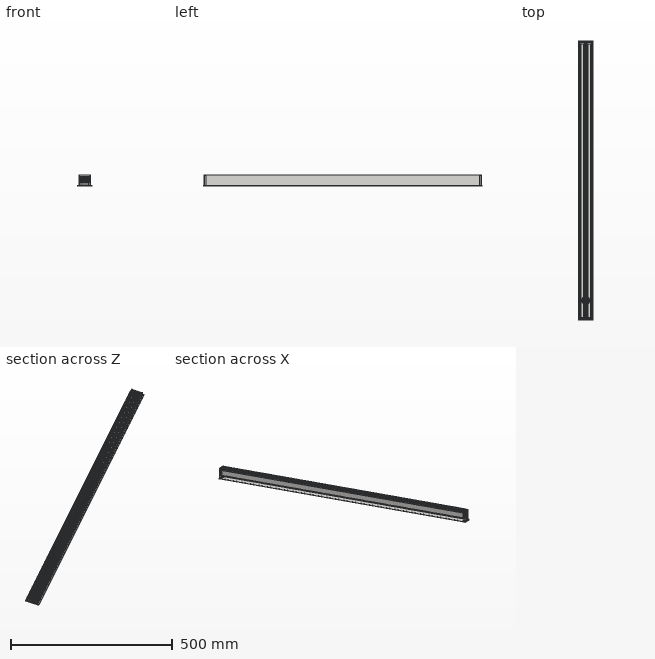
import cadquery as cq

LENGTH = 861.0
FLANGE_WIDTH = 44.0
TRIM_THICKNESS = 1.5
BODY_WIDTH = 35.0
BODY_HEIGHT = 34.0

CAP_SETBACK = 1.9
PLATE_THICKNESS = 2.0
COLLAR_THICKNESS = 4.0
COLLAR_STEP = 0.4
NOTCH_WIDTH = 8.0
NOTCH_LENGTH = 2.0
NOTCH_DEPTH = 1.0
SCREW_HOLE_DIAMETER = 4.5
SCREW_SPACING = 21.0
SCREW_HEIGHT = 22.0

CHANNEL_WIDTH = 28.0
CHANNEL_DEPTH = 1.0
GROOVE_WIDTH = 13.0
GROOVE_DEPTH = 2.0

CAVITY_BOTTOM = 12.0
CAVITY_TOP = 29.0
MIDDLE_SLOT = (1.3, 3.5)
INNER_CAVITY = (4.7, 8.2)
OUTER_CAVITY = (9.5, 14.0)
LAMP_CAVITY_WIDTH = 24.0
LAMP_CAVITY_BOTTOM = 3.5
LAMP_CAVITY_TOP = 10.0

GROMMET_Y = -370.0
GROMMET_HEIGHT = 3.0
GROMMET_DIAMETER = 24.0
GROMMET_TOP_DIAMETER = 20.0
BORE_DIAMETER = 14.0
BORE_DEPTH = 2.0

body_top = TRIM_THICKNESS + BODY_HEIGHT
channel_floor = body_top - CHANNEL_DEPTH
groove_floor = channel_floor - GROOVE_DEPTH
collar_top = body_top - COLLAR_STEP
cap_face = LENGTH / 2 - CAP_SETBACK
plate_back = cap_face - PLATE_THICKNESS
housing_end = plate_back - COLLAR_THICKNESS


def block(x_range, y_range, z_range):
    """Box filling the given ranges along X, Y and Z."""
    low, high = zip(x_range, y_range, z_range)
    size = [end - start for start, end in zip(low, high)]
    return cq.Workplane("XY").box(*size, centered=False).translate(low)


def centred(width):
    return (-width / 2, width / 2)


def cut_mirrored(body, x_range, y_range, z_range):
    """Cut the same box on both sides of the middle plane."""
    inner, outer = x_range
    body = body.cut(block((inner, outer), y_range, z_range))
    return body.cut(block((-outer, -inner), y_range, z_range))


def cut_cavities(body, y_range):
    """Cut the long cavities that the housing and the backs of the caps share."""
    for x_range in (MIDDLE_SLOT, INNER_CAVITY, OUTER_CAVITY):
        body = cut_mirrored(body, x_range, y_range, (CAVITY_BOTTOM, CAVITY_TOP))
    lamp_z_range = (LAMP_CAVITY_BOTTOM, LAMP_CAVITY_TOP)
    return body.cut(block(centred(LAMP_CAVITY_WIDTH), y_range, lamp_z_range))


def make_trim():
    return block(centred(FLANGE_WIDTH), centred(LENGTH), (0, TRIM_THICKNESS))


def make_grommet_disc():
    """Plain disc of the grommet's size, which also shapes its seat."""
    disc = cq.Workplane("XY").circle(GROMMET_DIAMETER / 2).extrude(GROMMET_HEIGHT)
    return disc.translate((0, GROMMET_Y, body_top - GROMMET_HEIGHT))


def make_grommet():
    rim_chamfer = (GROMMET_DIAMETER - GROMMET_TOP_DIAMETER) / 2
    disc = make_grommet_disc().faces(">Z").chamfer(rim_chamfer)
    return disc.faces(">Z").workplane(centerOption="CenterOfMass").hole(BORE_DIAMETER, BORE_DEPTH)


def make_housing():
    y_range = centred(2 * housing_end)
    body = block(centred(BODY_WIDTH), y_range, (TRIM_THICKNESS, body_top))
    body = cut_cavities(body, y_range)
    body = body.cut(block(centred(CHANNEL_WIDTH), y_range, (channel_floor, body_top)))
    body = body.cut(block(centred(GROOVE_WIDTH), y_range, (groove_floor, channel_floor)))
    body = cut_mirrored(body, MIDDLE_SLOT, y_range, (CAVITY_TOP, groove_floor))
    return body.cut(make_grommet_disc())


def make_cap():
    """Cap at the -Y end: the plate faces outwards and the collar meets the housing."""
    plate_range = (-cap_face, -plate_back)
    cap = block(centred(BODY_WIDTH), plate_range, (TRIM_THICKNESS, body_top))

    collar_range = (-plate_back, -housing_end)
    collar_width = BODY_WIDTH - 2 * COLLAR_STEP
    collar = block(centred(collar_width), collar_range, (TRIM_THICKNESS, collar_top))
    cap = cap.union(cut_cavities(collar, collar_range))

    notch_range = (-housing_end - NOTCH_LENGTH, -housing_end)
    cap = cap.cut(block(centred(NOTCH_WIDTH), notch_range, (collar_top - NOTCH_DEPTH, collar_top)))

    for x in centred(SCREW_SPACING):
        hole = cq.Workplane("XZ", origin=(x, -cap_face, SCREW_HEIGHT))
        cap = cap.cut(hole.circle(SCREW_HOLE_DIAMETER / 2).extrude(-PLATE_THICKNESS))
    return cap


trim = make_trim()
housing = make_housing()
grommet = make_grommet()
caps = [make_cap().rotate((0, 0, 0), (0, 0, 1), turn) for turn in (0, 180)]

result = cq.Compound.makeCompound(
    [trim.val(), housing.val(), grommet.val(), *[cap.val() for cap in caps]]
)